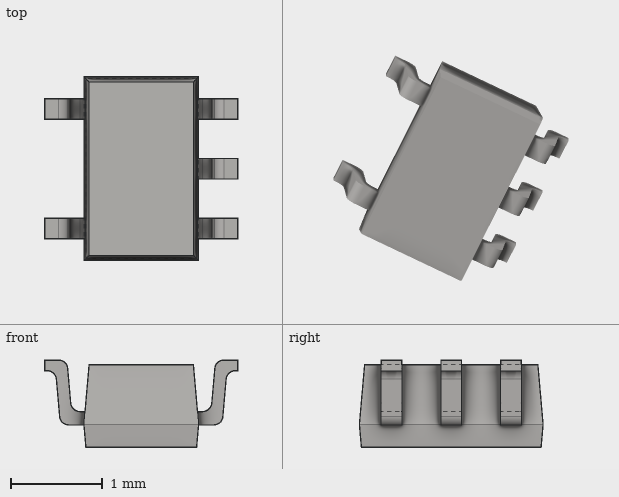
import cadquery as cq
import math

BODY_WIDTH = 1.25
BODY_LENGTH = 2.0
BODY_HEIGHT = 0.9
PARTING_HEIGHT = 0.25
DRAFT_ANGLE = 5.0

LEAD_SPAN = 2.1
LEAD_TOP = 0.95
LEAD_WIDTH = 0.225
LEAD_PITCH = 0.65
FOOT_THICKNESS = 0.117
ARM_THICKNESS = 0.135
ROOT_THICKNESS = 0.147
ROOT_BOTTOM = 0.243
ARM_ANGLE = 5.0
ARM_CORNER_FROM_TIP = 0.118
BEND_RADIUS = 0.1
ROOT_EMBED = 0.1

LEFT_LEAD_POSITIONS = (-LEAD_PITCH, LEAD_PITCH)
RIGHT_LEAD_POSITIONS = (-LEAD_PITCH, 0, LEAD_PITCH)


def make_body_half(height):
    """Drafted block that narrows away from the parting plane; a negative height goes down."""
    return (
        cq.Workplane("XY", origin=(0, 0, PARTING_HEIGHT))
        .rect(BODY_WIDTH, BODY_LENGTH)
        .extrude(height, taper=DRAFT_ANGLE)
    )


def make_body():
    """Two drafted blocks that meet at the parting plane."""
    upper = make_body_half(BODY_HEIGHT - PARTING_HEIGHT)
    lower = make_body_half(-PARTING_HEIGHT)
    return upper.union(lower)


def make_left_lead(y_center):
    """Bent lead on the -X side, centred on y_center."""
    tip_x = -LEAD_SPAN / 2
    root_x = -BODY_WIDTH / 2 + ROOT_EMBED
    foot_bottom = LEAD_TOP - FOOT_THICKNESS
    root_top = ROOT_BOTTOM + ROOT_THICKNESS
    lean = math.tan(math.radians(ARM_ANGLE))
    arm_width_in_x = ARM_THICKNESS / math.cos(math.radians(ARM_ANGLE))

    def arm_outer_x(z):
        return tip_x + ARM_CORNER_FROM_TIP + (foot_bottom - z) * lean

    def arm_inner_x(z):
        return arm_outer_x(z) + arm_width_in_x

    outline = [
        (tip_x, LEAD_TOP),
        (arm_inner_x(LEAD_TOP), LEAD_TOP),
        (arm_inner_x(root_top), root_top),
        (root_x, root_top),
        (root_x, ROOT_BOTTOM),
        (arm_outer_x(ROOT_BOTTOM), ROOT_BOTTOM),
        (arm_outer_x(foot_bottom), foot_bottom),
        (tip_x, foot_bottom),
    ]
    strip = (
        cq.Workplane("XZ", origin=(0, y_center, 0))
        .polyline(outline)
        .close()
        .extrude(LEAD_WIDTH / 2, both=True)
    )
    bend_edges = strip.edges("|Y").edges("not(<X or >X)")
    return bend_edges.fillet(BEND_RADIUS)


result = make_body()
for y in LEFT_LEAD_POSITIONS:
    result = result.union(make_left_lead(y))
for y in RIGHT_LEAD_POSITIONS:
    result = result.union(make_left_lead(y).mirror("YZ"))